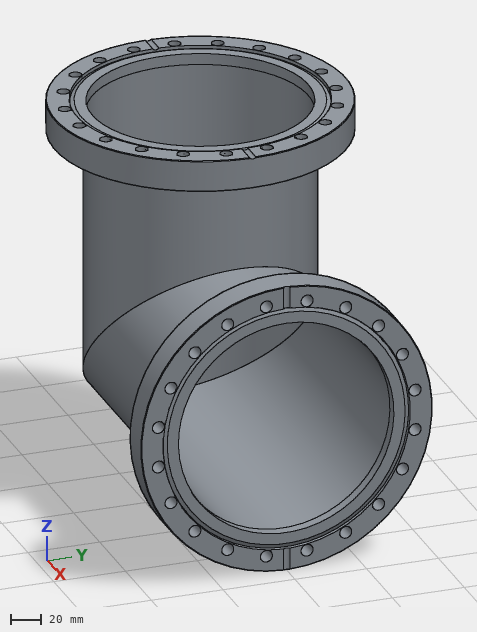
import cadquery as cq

FLANGE_DIAMETER = 203.0
OVERALL_LENGTH = 268.5
FLANGE_RADIUS = FLANGE_DIAMETER / 2
LEG_LENGTH = OVERALL_LENGTH - FLANGE_RADIUS

TUBE_OUTER_DIAMETER = 154.0
TUBE_BORE_DIAMETER = 150.0
TUBE_INSET = 8.9

FLANGE_THICKNESS = 22.0
FLANGE_BORE_DIAMETER = 172.0
LIP_BORE_DIAMETER = 161.0
LIP_THICKNESS = 6.5
EDGE_CHAMFER = 0.5

BOLT_COUNT = 20
BOLT_CIRCLE_DIAMETER = 181.0
BOLT_HOLE_DIAMETER = 8.3

GROOVE_WIDTH = 4.3
GROOVE_DEPTH = 1.0

RING_DIAMETER = 171.3
SEAL_EDGE_DIAMETER = 165.7
SEAL_CONE_DEPTH = 1.0
SEAL_RECESS = 1.0

FLANGE_BACK = LEG_LENGTH - FLANGE_THICKNESS
RING_BOTTOM = FLANGE_BACK + LIP_THICKNESS
RING_TOP = LEG_LENGTH - SEAL_RECESS
TUBE_END = LEG_LENGTH - TUBE_INSET


def cylinder(diameter, bottom, top):
    """Solid cylinder on the Z axis between two heights."""
    return cq.Workplane("XY").workplane(offset=bottom).circle(diameter / 2).extrude(top - bottom)


def make_tube():
    """Tube along Z, cut off at its foot by the 45 degree mitre plane Z = X."""
    reach = TUBE_OUTER_DIAMETER / 2
    tube = cylinder(TUBE_OUTER_DIAMETER, -reach, TUBE_END)
    tube = tube.cut(cylinder(TUBE_BORE_DIAMETER, -reach, TUBE_END))
    below_mitre = (
        cq.Workplane("XZ")
        .polyline([(-reach, -reach), (reach, reach), (reach, -reach)])
        .close()
        .extrude(reach, both=True)
    )
    return tube.cut(below_mitre)


def make_inner_ring():
    """Ring with a conical sealing edge on top and a socket for the tube underneath."""
    ring = cylinder(RING_DIAMETER, RING_BOTTOM, RING_TOP)
    cone_width = (RING_DIAMETER - SEAL_EDGE_DIAMETER) / 2
    ring = ring.faces(">Z").chamfer(SEAL_CONE_DEPTH, cone_width)
    ring = ring.cut(cylinder(TUBE_BORE_DIAMETER, RING_BOTTOM, RING_TOP))
    return ring.cut(cylinder(TUBE_OUTER_DIAMETER, RING_BOTTOM, TUBE_END))


def cut_bolt_holes(flange):
    """Bolt holes set half a pitch away from the X axis."""
    holes = (
        cq.Workplane("XY")
        .workplane(offset=FLANGE_BACK)
        .polarArray(BOLT_CIRCLE_DIAMETER / 2, 180 / BOLT_COUNT, 360, BOLT_COUNT)
        .circle(BOLT_HOLE_DIAMETER / 2)
        .extrude(FLANGE_THICKNESS)
    )
    return flange.cut(holes)


def cut_leak_grooves(flange):
    """Grooves on both sides of the flange face, along X, with a circular-arc section."""
    arc_radius = (GROOVE_WIDTH**2 / 4 + GROOVE_DEPTH**2) / (2 * GROOVE_DEPTH)
    groove = (
        cq.Workplane("YZ")
        .center(0, LEG_LENGTH - GROOVE_DEPTH + arc_radius)
        .circle(arc_radius)
        .extrude(FLANGE_RADIUS, both=True)
    )
    return flange.cut(groove)


def make_outer_flange():
    """Bolted flange whose rear lip holds the inner ring."""
    flange = cylinder(FLANGE_DIAMETER, FLANGE_BACK, LEG_LENGTH).edges().chamfer(EDGE_CHAMFER)
    flange = flange.cut(cylinder(LIP_BORE_DIAMETER, FLANGE_BACK, LEG_LENGTH))
    flange = flange.cut(cylinder(FLANGE_BORE_DIAMETER, RING_BOTTOM, LEG_LENGTH))
    return cut_leak_grooves(cut_bolt_holes(flange))


def turned_to_x(body):
    """Copy of a body of the Z leg, turned half a turn about the line Z = X onto the X leg."""
    return body.rotate((0, 0, 0), (1, 0, 1), 180)


bodies = []
for upright in (make_tube(), make_inner_ring(), make_outer_flange()):
    bodies.append(upright.val())
    bodies.append(turned_to_x(upright).val())

result = cq.Compound.makeCompound(bodies)